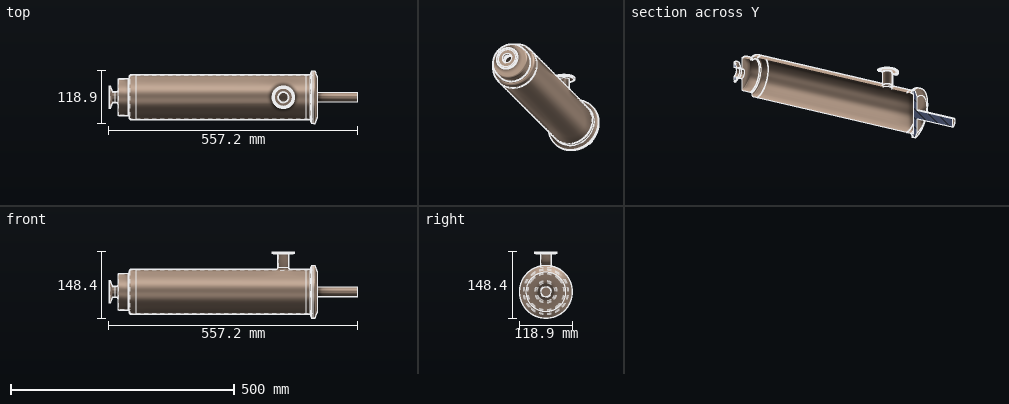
import cadquery as cq
import math

SHELL_OD = 101.6
SHELL_ID = 97.38
CHAMBER_OD = 83.31
CHAMBER_ID = 80.01
PORT_OD = 25.4
PORT_ID = 22.1

INLET_LENGTH = 12.7
CHAMBER_FACE_X = 19.3
REDUCER_FACE_X = 44.8
REDUCER_LENGTH = 15.5
CLAMP_FACE_X = 457.2
CLAMP_FERRULE_LENGTH = 15.88
OVERALL_LENGTH = 557.21

CHAMBER_ROUND = 3.7
REDUCER_ROUND = 4.76
COLLAR_FILLET = 2.1
COLLAR_HEIGHT = 2.4
NOZZLE_FILLET = 2.9
NOZZLE_COLLAR_HEIGHT = 3.2

FLANGE_ANGLE = math.radians(20)
PORT_FLANGE_OD = 50.39
INLET_RIM = 3.0
NOZZLE_RIM = 2.5
NOZZLE_FLANGE_DEPTH = 3.7
CLAMP_FLANGE_OD = 118.92
CLAMP_RIM = 3.3
COVER_RIM = 4.5
PORT_RIM_ROUND = 0.8
COVER_RIM_ROUND = 1.0
NECK_FILLET = 0.8
GROOVE_CENTRE_D = 43.6
GROOVE_RADIUS = 1.6

COVER_THICKNESS = 10.0
ROD_D = 22.23

TOLERANCE = 0.001

NOZZLE_X = 390.5
NOZZLE_FACE_Z = 88.9

chamber_wall = (CHAMBER_OD - CHAMBER_ID) / 2
shell_wall = (SHELL_OD - SHELL_ID) / 2
reducer_start_x = REDUCER_FACE_X - COLLAR_HEIGHT
shell_start_x = REDUCER_FACE_X + REDUCER_LENGTH
shell_end_x = CLAMP_FACE_X - CLAMP_FERRULE_LENGTH
nozzle_base_z = SHELL_OD / 2 + NOZZLE_COLLAR_HEIGHT


def cylinder(start_x, end_x, diameter):
    """Solid cylinder on the X axis."""
    return cq.Workplane("YZ", origin=(start_x, 0, 0)).circle(diameter / 2).extrude(end_x - start_x)


def tapered_disc(diameter, rim, depth):
    """Clamp disc with its face at x = 0, a straight rim and a taper behind it."""
    taper_drop = (depth - rim) / math.tan(FLANGE_ANGLE)
    outline = [
        (0, 0),
        (0, diameter / 2),
        (rim, diameter / 2),
        (depth, diameter / 2 - taper_drop),
        (depth, 0),
    ]
    return cq.Workplane("XY").polyline(outline).close().revolve(360, (0, 0, 0), (1, 0, 0))


def fillet_circles(body, diameter, x_range, radius):
    """Round the circular edges of one diameter that lie within a range of X."""

    def matches(edge):
        if edge.geomType() != "CIRCLE":
            return False
        in_range = x_range[0] - TOLERANCE <= edge.Center().x <= x_range[1] + TOLERANCE
        return in_range and math.isclose(edge.radius(), diameter / 2, abs_tol=TOLERANCE)

    return body.edges().filter(matches).fillet(radius)


def taper_end(flange_od, tube_od, rim):
    """Distance from the face at which a full flange taper reaches its tube."""
    return rim + (flange_od - tube_od) / 2 * math.tan(FLANGE_ANGLE)


def clamp_ferrule(flange_od, tube_od, bore, rim, flange_depth, length):
    """Tube end with a tapered clamp flange, its face at x = 0 and its tube toward +X."""
    body = tapered_disc(flange_od, rim, flange_depth).union(cylinder(0, length, tube_od))
    return body.cut(cylinder(0, length, bore))


def port_ferrule(rim, flange_depth, length):
    """Small ferrule with a round gasket groove in its face."""
    body = clamp_ferrule(PORT_FLANGE_OD, PORT_OD, PORT_ID, rim, flange_depth, length)
    groove = cq.Solid.makeTorus(GROOVE_CENTRE_D / 2, GROOVE_RADIUS, cq.Vector(0, 0, 0), cq.Vector(1, 0, 0))
    return body.cut(cq.Workplane(groove))


def inlet_ferrule():
    """Port ferrule with a rounded rim and a full taper that blends into its neck."""
    flange_depth = taper_end(PORT_FLANGE_OD, PORT_OD, INLET_RIM)
    body = port_ferrule(INLET_RIM, flange_depth, INLET_LENGTH)
    body = fillet_circles(body, PORT_FLANGE_OD, (0, INLET_RIM), PORT_RIM_ROUND)
    return fillet_circles(body, PORT_OD, (flange_depth, flange_depth), NECK_FILLET)


def outlet_ferrule():
    """Large ferrule on the far end of the shell, its face toward +X."""
    flange_depth = taper_end(CLAMP_FLANGE_OD, SHELL_OD, CLAMP_RIM)
    body = clamp_ferrule(
        CLAMP_FLANGE_OD, SHELL_OD, SHELL_ID, CLAMP_RIM, flange_depth, CLAMP_FERRULE_LENGTH
    )
    body = fillet_circles(body, SHELL_OD, (flange_depth, flange_depth), NECK_FILLET)
    return body.mirror("YZ").translate((CLAMP_FACE_X, 0, 0))


def side_nozzle():
    """Upright port ferrule with a flat-backed flange, standing on the shell collar."""
    length = NOZZLE_FACE_Z - nozzle_base_z
    body = port_ferrule(NOZZLE_RIM, NOZZLE_FLANGE_DEPTH, length)
    return body.rotate((0, 0, 0), (0, 1, 0), 90).translate((NOZZLE_X, 0, NOZZLE_FACE_Z))


def end_chamber():
    """Cup with a rounded end wall and a collar that meets the inlet."""
    body = cylinder(CHAMBER_FACE_X, reducer_start_x, CHAMBER_OD)
    body = body.faces("<X").edges().fillet(CHAMBER_ROUND)
    body = body.union(cylinder(INLET_LENGTH, CHAMBER_FACE_X + chamber_wall, PORT_OD))
    body = fillet_circles(body, PORT_OD, (CHAMBER_FACE_X, CHAMBER_FACE_X), COLLAR_FILLET)

    cavity = cylinder(CHAMBER_FACE_X + chamber_wall, reducer_start_x, CHAMBER_ID)
    cavity = cavity.faces("<X").edges().fillet(CHAMBER_ROUND - chamber_wall)
    return body.cut(cavity).cut(cylinder(INLET_LENGTH, reducer_start_x, PORT_ID))


def end_reducer():
    """Rounded end wall that joins the chamber to the shell."""
    body = cylinder(REDUCER_FACE_X, shell_start_x, SHELL_OD)
    body = body.faces("<X").edges().fillet(REDUCER_ROUND)
    body = body.union(cylinder(reducer_start_x, REDUCER_FACE_X + shell_wall, CHAMBER_OD))
    body = fillet_circles(body, CHAMBER_OD, (REDUCER_FACE_X, REDUCER_FACE_X), COLLAR_FILLET)

    cavity = cylinder(REDUCER_FACE_X + shell_wall, shell_start_x, SHELL_ID)
    cavity = cavity.faces("<X").edges().fillet(REDUCER_ROUND - shell_wall)
    return body.cut(cavity).cut(cylinder(reducer_start_x, shell_start_x, CHAMBER_ID))


def main_shell():
    """Long tube with a filleted collar on top for the side nozzle."""
    collar_plane = cq.Workplane("XY", origin=(NOZZLE_X, 0, 0))
    collar = collar_plane.circle(PORT_OD / 2).extrude(nozzle_base_z)
    port = collar_plane.circle(PORT_ID / 2).extrude(nozzle_base_z)

    body = cylinder(shell_start_x, shell_end_x, SHELL_OD).union(collar)
    root = cq.selectors.BoxSelector(
        (NOZZLE_X - PORT_OD, -PORT_OD, SHELL_OD / 4),
        (NOZZLE_X + PORT_OD, PORT_OD, nozzle_base_z - NOZZLE_COLLAR_HEIGHT / 4),
    )
    body = body.edges(root).edges("not(%LINE or %CIRCLE)").fillet(NOZZLE_FILLET)
    return body.cut(cylinder(shell_start_x, shell_end_x, SHELL_ID)).cut(port)


def rod_cover():
    """Tapered clamp cover with a rod along the axis."""
    disc = tapered_disc(CLAMP_FLANGE_OD, COVER_RIM, COVER_THICKNESS)
    disc = fillet_circles(disc, CLAMP_FLANGE_OD, (0, COVER_RIM), COVER_RIM_ROUND)
    disc = disc.translate((CLAMP_FACE_X, 0, 0))
    return disc.union(cylinder(CLAMP_FACE_X, OVERALL_LENGTH, ROD_D))


inlet = inlet_ferrule()
chamber = end_chamber()
reducer = end_reducer()
shell = main_shell()
outlet = outlet_ferrule()
cover = rod_cover()
nozzle = side_nozzle()

result = cq.Compound.makeCompound(
    [
        inlet.val(),
        chamber.val(),
        reducer.val(),
        shell.val(),
        outlet.val(),
        cover.val(),
        nozzle.val(),
    ]
)